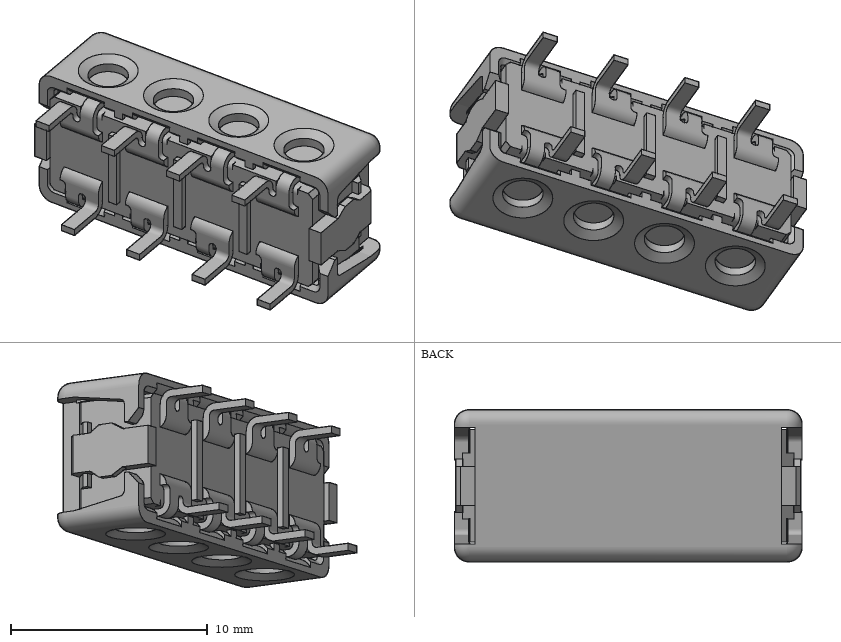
import cadquery as cq
import math

length = 17.7
height = 7.75
shell_depth = 5.27
edge_radius = 0.76

cavity_length = 16.21
cavity_height = 5.98
cavity_depth = 4.28
cavity_lead_in = 0.25
cavity_corner_radius = 0.18
insert_length = 16.1
insert_height = 5.73
insert_front = -0.21
insert_corner_chamfer = 0.27
insert_corner_depth = 0.53
insert_back_chamfer = 0.25
core_x = insert_length / 2 - insert_back_chamfer

position_count = 4
pitch = 4.0
contact_places = [(i - (position_count - 1) / 2) * pitch for i in range(position_count)]
divider_places = [(i - (position_count - 2) / 2) * pitch for i in range(position_count - 1)]

divider_width = 0.5
divider_height = 4.15
raised_front = -0.53

well_y = 2.05
well_radius = 1.03
well_rim_radius = 1.52
well_countersink = 0.28
well_depth = 0.76

window_back_z = 2.95
window_slope_y = 3.93
window_corner_y = 0.87
window_corner_z = 2.48
window_corner_radius = 0.32
hook_z = 1.31
hook_land_y = 0.64
hook_rim_z = 1.96

latch_x = 8.78
latch_half_height = 1.0
latch_back_chamfer = 0.25
bump_inner_x = 8.4
bump_half_height = 1.36
bump_foot_ys = (1.03, 3.03)
bump_top_ys = (1.7, 2.46)
ramp_height = 0.62
ramp_front_y = 3.4
ramp_half_height = 1.68

strip = 0.37
plate_front = -0.58
plate_width = 2.35
leg_width = 0.8
slot_width = 0.42
finger_radius = 0.65
finger_z = 2.65
finger_back_y = 0.88
lip_z = 1.8
tail_tip_y = -2.78
tail_top_z = 3.1
tail_inner_radius = 0.3
slot_bottom_z = 2.18
shoulder_radius = 0.23

pocket_width = 2.27
pocket_z = 3.54
pocket_rim_slope = math.radians(60)
saddle_radius = 0.3
saddle_margin = 0.23


def box(x0, x1, y0, y1, z0, z1):
    """Box between two limits on each axis."""
    return cq.Workplane("XY").box(x1 - x0, y1 - y0, z1 - z0, centered=False).translate((x0, y0, z0))


def side_sketch(x):
    """Plane whose local axes are Y and Z, extruding towards +X."""
    return cq.Workplane("YZ", origin=(x, 0, 0))


def block(x_size, z_size, y0, y1):
    """Box centred on the Y axis, reaching from y0 to y1."""
    return cq.Workplane("XY").box(x_size, y1 - y0, z_size).translate((0, (y0 + y1) / 2, 0))


def half_turn(body):
    """The same body on the opposite side of the Y axis."""
    return body.rotate((0, 0, 0), (0, 1, 0), 180)


def make_window(end):
    """Opening in one end wall, leaving a hook above and below the latch."""
    upper = [
        (window_slope_y, window_back_z),
        (window_corner_y, window_corner_z),
        (window_corner_y, hook_z),
        (hook_land_y, hook_z),
        (0, hook_rim_z),
    ]
    lower = [(y, -z) for y, z in reversed(upper)]
    outline = [(shell_depth, window_back_z)] + upper + lower + [(shell_depth, -window_back_z)]
    wall = (length - cavity_length) / 2
    window = side_sketch(cavity_length / 2).polyline(outline).close().extrude(wall)
    for z in (-window_corner_z, window_corner_z):
        corner = cq.selectors.NearestToPointSelector((length / 2, window_corner_y, z))
        window = window.edges("|X").edges(corner).fillet(window_corner_radius)
    back_notch = box(core_x, length / 2, cavity_depth, shell_depth, -window_back_z, window_back_z)
    window = window.union(back_notch)
    return window if end > 0 else half_turn(window)


def make_well(x):
    """Countersunk blind well in the top wall."""
    profile = [
        (0, height / 2),
        (well_rim_radius, height / 2),
        (well_radius, height / 2 - well_countersink),
        (well_radius, height / 2 - well_depth),
        (0, height / 2 - well_depth),
    ]
    well = cq.Workplane("XZ").polyline(profile).close().revolve(360, (0, 0), (0, 1))
    return well.translate((x, well_y, 0))


def make_pocket(x):
    """Opening over a contact finger, with a rounded rim."""
    ceiling = cavity_height / 2
    radius = (pocket_z - ceiling) / (1 - math.cos(pocket_rim_slope))
    depth = radius * math.sin(pocket_rim_slope)
    return (
        side_sketch(x - pocket_width / 2)
        .moveTo(0, 0)
        .lineTo(0, pocket_z)
        .radiusArc((depth, ceiling), -radius)
        .lineTo(depth, 0)
        .close()
        .extrude(pocket_width)
    )


def make_shell():
    """Rounded open-fronted shell with all its openings."""
    shell = block(length, height, 0, shell_depth)
    shell = shell.edges("|Y").fillet(edge_radius).faces(">Y").edges().fillet(edge_radius)
    cavity = block(cavity_length, cavity_height, 0, cavity_depth).edges("|Y").fillet(cavity_corner_radius)
    shell = shell.cut(cavity)
    shell = shell.faces("<Y").wires(cq.selectors.LengthNthSelector(0)).chamfer(cavity_lead_in)
    for x in divider_places:
        bridge_z = cavity_height / 2 + cavity_lead_in
        bridge = block(divider_width, 2 * bridge_z, 0, cavity_lead_in)
        shell = shell.union(bridge.translate((x, 0, 0)))
    for x in contact_places:
        for cutter in (make_pocket(x), make_well(x)):
            shell = shell.cut(cutter).cut(half_turn(cutter))
    return shell.cut(make_window(1)).cut(make_window(-1))


def make_saddle_corner(x):
    """Waste outside the rounded insert edge that a contact finger wraps around."""
    left = x - plate_width / 2 + leg_width + slot_width - saddle_margin
    top = insert_height / 2
    return (
        side_sketch(left)
        .moveTo(insert_front, top - saddle_radius)
        .lineTo(insert_front, top)
        .lineTo(insert_front + saddle_radius, top)
        .radiusArc((insert_front, top - saddle_radius), -saddle_radius)
        .close()
        .extrude(x + pocket_width / 2 - left)
    )


def make_insert():
    """Block filling the cavity, with dividers and rounded edges under the fingers."""
    nose = block(insert_length, insert_height, insert_front, insert_corner_depth)
    nose = nose.edges("|Y").chamfer(insert_corner_chamfer)
    insert = block(insert_length, insert_height, insert_corner_depth, cavity_depth)
    insert = insert.faces(">Y").edges("|Z and (>X or <X)").chamfer(insert_back_chamfer).union(nose)
    for x in divider_places:
        insert = insert.union(block(divider_width, divider_height, raised_front, 0).translate((x, 0, 0)))
    for x in contact_places:
        corner = make_saddle_corner(x)
        insert = insert.cut(corner).cut(half_turn(corner))
    return insert


def make_latch(end):
    """Latch arm with a bump above and below, and the ramps beside it."""
    arm = box(core_x, latch_x, 0, cavity_depth, -latch_half_height, latch_half_height)
    arm = arm.edges(">X and >Y").chamfer(latch_back_chamfer)
    tip = box(insert_length / 2, latch_x, raised_front, 0, -latch_half_height, latch_half_height)
    (front_foot, back_foot), (front_top, back_top) = bump_foot_ys, bump_top_ys
    upper = [
        (front_foot, latch_half_height),
        (front_top, bump_half_height),
        (back_top, bump_half_height),
        (back_foot, latch_half_height),
    ]
    lower = [(y, -z) for y, z in reversed(upper)]
    bump = side_sketch(bump_inner_x).polyline(upper + lower).close().extrude(latch_x - bump_inner_x)
    ramp = (
        cq.Workplane("XY")
        .moveTo(core_x, cavity_depth)
        .lineTo(core_x + ramp_height, cavity_depth - ramp_height)
        .lineTo(core_x + ramp_height, ramp_front_y)
        .lineTo(core_x, ramp_front_y)
        .close()
        .extrude(ramp_half_height, both=True)
    )
    latch = arm.union(tip).union(bump).union(ramp)
    return latch if end > 0 else half_turn(latch)


def make_contact(x):
    """Upper contact: plate with a curled lower lip, a straight tail and a hooked finger."""
    left = x - plate_width / 2
    plate_back = plate_front + strip
    bend_y = plate_front + finger_radius
    lip_reach = math.sqrt(finger_radius**2 - (bend_y - plate_back) ** 2)
    lip = (
        side_sketch(left)
        .moveTo(plate_back, lip_z)
        .lineTo(plate_front, lip_z)
        .radiusArc((plate_back, lip_z - lip_reach), -finger_radius)
        .close()
        .extrude(plate_width)
    )

    slot_x = left + leg_width + slot_width / 2
    finger_x = slot_x + slot_width / 2
    right = finger_x + leg_width
    slot_radius = slot_width / 2
    tail_bend_z = tail_top_z - strip - tail_inner_radius
    plate = (
        cq.Workplane("XZ", origin=(0, plate_back, 0))
        .moveTo(left, lip_z)
        .lineTo(left, tail_bend_z)
        .lineTo(left + leg_width, tail_bend_z)
        .lineTo(left + leg_width, slot_bottom_z + slot_radius)
        .threePointArc((slot_x, slot_bottom_z), (finger_x, slot_bottom_z + slot_radius))
        .lineTo(finger_x, finger_z)
        .lineTo(right, finger_z)
        .lineTo(right, lip_z + shoulder_radius)
        .radiusArc((right + shoulder_radius, lip_z), -shoulder_radius)
        .close()
        .extrude(strip)
    )

    tail_outer_radius = tail_inner_radius + strip
    tail = (
        side_sketch(left)
        .moveTo(plate_back, tail_bend_z)
        .lineTo(plate_front, tail_bend_z)
        .radiusArc((plate_front - tail_inner_radius, tail_top_z - strip), -tail_inner_radius)
        .lineTo(tail_tip_y, tail_top_z - strip)
        .lineTo(tail_tip_y, tail_top_z)
        .lineTo(plate_back - tail_outer_radius, tail_top_z)
        .radiusArc((plate_back, tail_bend_z), tail_outer_radius)
        .close()
        .extrude(leg_width)
    )

    finger_inner_radius = finger_radius - strip
    finger = (
        side_sketch(finger_x)
        .moveTo(plate_back, finger_z)
        .lineTo(plate_front, finger_z)
        .radiusArc((bend_y, finger_z + finger_radius), finger_radius)
        .lineTo(finger_back_y, finger_z + finger_radius)
        .lineTo(finger_back_y, finger_z + finger_inner_radius)
        .lineTo(bend_y, finger_z + finger_inner_radius)
        .radiusArc((plate_back, finger_z), -finger_inner_radius)
        .close()
        .extrude(leg_width)
    )
    return lip.union(plate).union(tail).union(finger)


result = make_shell().union(make_insert())
for end in (-1, 1):
    result = result.union(make_latch(end))
for x in contact_places:
    contact = make_contact(x)
    result = result.union(contact).union(half_turn(contact))